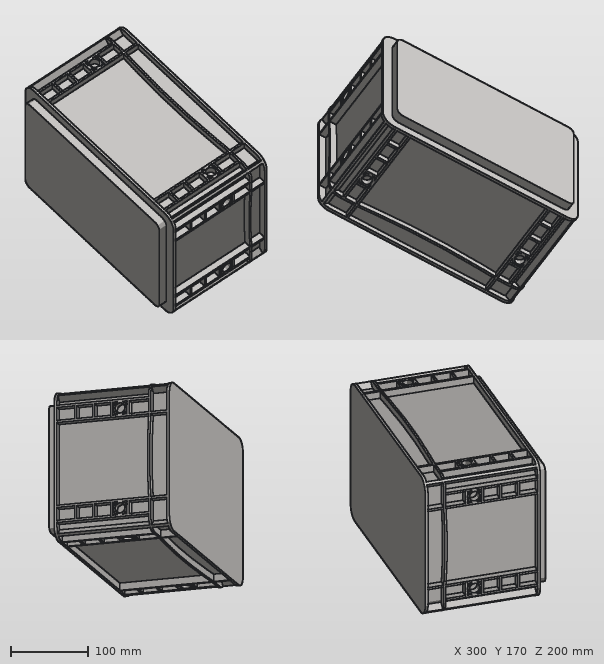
import cadquery as cq
import math


length = 300.0
width = 200.0
depth = 170.0
plinth_height = 12.0
body_depth = depth - plinth_height
corner_radius = 17.5

plinth_inset = 14.0
plinth_radius = 9.3

rim = 4.0
rib = 3.0
pocket_depth = 10.0
corner_rib = 4.2

band_y = -27.0
arch_slope = 0.06
long_straight_end = 24.5
short_straight_end = rib / 2

inner_rib_inset = 42.5
outer_rib_inset = 22.2

boss_y = -67.8
boss_radius = 9.5
hole_radius = 7.0
boss_web = 1.5
long_side_rungs = [-56.7, -78.3, -104.5, -130.5]
short_side_rungs = [-56.7, -79.2, -103.8, -128.5]


def rounded_block(size_x, size_z, radius, y_back, y_front):
    """Block along Y, with its four long edges rounded."""
    return (
        cq.Workplane("XZ", origin=(0, y_back, 0))
        .rect(size_x, size_z)
        .extrude(y_back - y_front)
        .edges("|Y")
        .fillet(radius)
    )


def slab(u, y_back, y_front, thickness, height):
    """Upright slab through the part, centred at u, between two places along Y."""
    return (
        cq.Workplane("XY")
        .center(u, (y_back + y_front) / 2)
        .rect(thickness, y_back - y_front)
        .extrude(height / 2, both=True)
    )


def arched_band(half_span, straight_end, height):
    """Band rib across a large panel: straight sloping ends and a tangent arc that bows to -Y."""
    tangent = half_span - straight_end
    end_drop = straight_end * arch_slope
    arc_drop = tangent * math.tan(math.atan(arch_slope) / 2)
    top = band_y + rib / 2
    bottom = top - rib

    return (
        cq.Workplane("XY")
        .moveTo(-half_span, top)
        .lineTo(-tangent, top - end_drop)
        .threePointArc((0, top - end_drop - arc_drop), (tangent, top - end_drop))
        .lineTo(half_span, top)
        .lineTo(half_span, bottom)
        .lineTo(tangent, bottom - end_drop)
        .threePointArc((0, bottom - end_drop - arc_drop), (-tangent, bottom - end_drop))
        .lineTo(-half_span, bottom)
        .close()
        .extrude(height / 2, both=True)
    )


def boss_cylinder(u, radius, z_bottom, z_top):
    """Upright cylinder on the axis of the boss at u."""
    return (
        cq.Workplane("XY", origin=(0, 0, z_bottom))
        .center(u, boss_y)
        .circle(radius)
        .extrude(z_top - z_bottom)
    )


def side_pair_ribs(span, height, straight_end, rungs):
    """Ribs of two opposite sides, facing +Z and -Z, as one set through the part."""
    inner = span / 2 - inner_rib_inset
    outer = span / 2 - outer_rib_inset
    column = (inner + outer) / 2
    ribs = arched_band(inner, straight_end, height)
    for side in (-1, 1):
        ribs = ribs.union(slab(side * inner, 0, -body_depth, rib, height))
        ribs = ribs.union(slab(side * outer, band_y, -body_depth, rib, height))
        ribs = ribs.union(boss_cylinder(side * column, boss_radius, -height / 2, height / 2))
        ribs = ribs.union(slab(side * column, rungs[0], rungs[1], boss_web, height))
        for y in rungs:
            rung = slab(side * column, y + rib / 2, y - rib / 2, outer - inner, height)
            ribs = ribs.union(rung)
    return ribs


def side_pair_holes(span, height):
    """Blind holes in the bosses of two opposite sides, facing +Z and -Z."""
    column = (span - inner_rib_inset - outer_rib_inset) / 2
    holes = cq.Workplane("XY")
    for side in (-1, 1):
        u = side * column
        holes = holes.add(boss_cylinder(u, hole_radius, height / 2 - pocket_depth, height / 2))
        holes = holes.add(boss_cylinder(u, hole_radius, -height / 2, pocket_depth - height / 2))
    return holes.combine()


def onto_short_sides(solid):
    """Turn a set built for the +Z and -Z sides onto the +X and -X sides."""
    return solid.rotate((0, 0, 0), (0, 1, 0), 90)


def corner_ribs():
    """Straight band around each corner and a diagonal rib along it."""
    ribs = cq.Workplane("XY")
    for side_x in (-1, 1):
        for side_z in (-1, 1):
            band = cq.Workplane("XY").box(inner_rib_inset, rib, inner_rib_inset).translate((
                side_x * (length - inner_rib_inset) / 2,
                band_y,
                side_z * (width - inner_rib_inset) / 2,
            ))
            diagonal = (
                cq.Workplane("XY")
                .box(2 * corner_radius, body_depth, corner_rib)
                .rotate((0, 0, 0), (0, 1, 0), -45 * side_x * side_z)
                .translate((
                    side_x * (length / 2 - corner_radius),
                    -body_depth / 2,
                    side_z * (width / 2 - corner_radius),
                ))
            )
            ribs = ribs.add(band).add(diagonal)
    return ribs.combine()


envelope = rounded_block(length, width, corner_radius, 0, -body_depth)
core = rounded_block(
    length - 2 * pocket_depth,
    width - 2 * pocket_depth,
    corner_radius - pocket_depth,
    0,
    -body_depth,
)
back_frame = rounded_block(length, width, corner_radius, 0, -rim)
front_frame = rounded_block(length, width, corner_radius, rim - body_depth, -body_depth)

ribs = (
    side_pair_ribs(length, width, long_straight_end, long_side_rungs)
    .union(onto_short_sides(side_pair_ribs(width, length, short_straight_end, short_side_rungs)))
    .union(corner_ribs())
    .intersect(envelope)
)

plinth = rounded_block(
    length - 2 * plinth_inset,
    width - 2 * plinth_inset,
    plinth_radius,
    -body_depth,
    -depth,
)

result = (
    core.union(back_frame)
    .union(front_frame)
    .union(ribs)
    .union(plinth)
    .cut(side_pair_holes(length, width))
    .cut(onto_short_sides(side_pair_holes(width, length)))
)